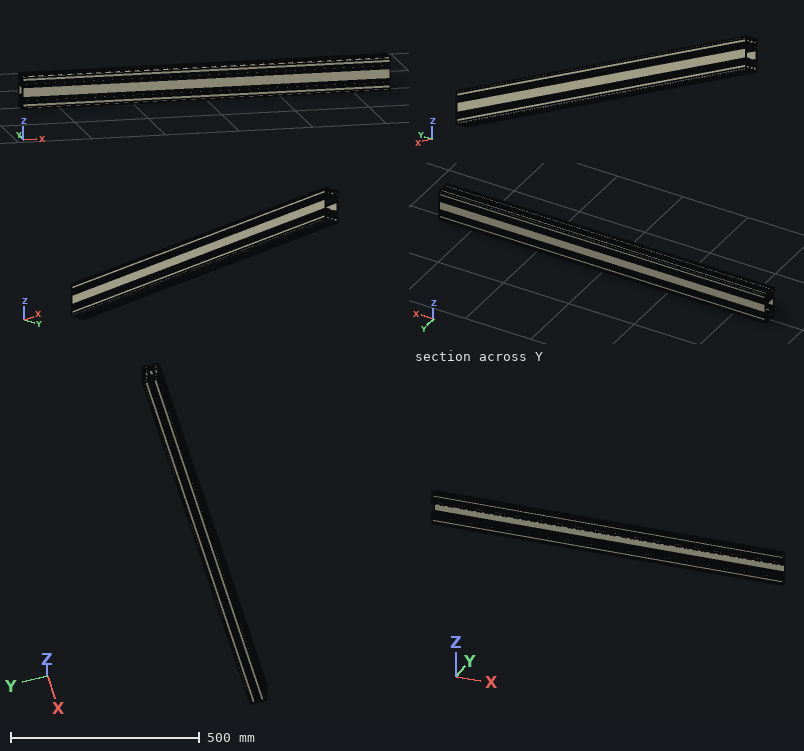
import cadquery as cq

LENGTH = 1000.0
WIDTH = 45.0
HEIGHT = 2 * WIDTH
CORNER_RADIUS = 2.5

MODULE_OFFSET = WIDTH / 2
HALF_MODULE = WIDTH / 2
CORE_HOLE_DIAMETER = 6.8

SLOT_HALF_OPENING = 4.2
SLOT_HALF_WIDTH = 7.0
SLOT_HALF_FLOOR = 5.5
FLOOR_DISTANCE = 6.5
LIP_THICKNESS = 4.4
LIP_SLOPE = 0.5
LIP_ROUND = 0.3
LIP_CHAMFER = 1.2
GROOVE_HALF_WIDTH = 1.1
GROOVE_DEPTH = 0.6

SLOT_WALL = 1.4
OUTER_WALL = 2.0
CORNER_CHAMBER_CHAMFER = 3.6
CORNER_CHAMBER_TAPER = 1.0
CENTRE_CHAMBER_SLOPE_WIDTH = 3.5

X_AXIS = ((0, 0, 0), (1, 0, 0))


def extrude_along_x(points):
    """Extrude a closed YZ outline over the whole length."""
    return cq.Workplane("YZ").polyline(points).close().extrude(LENGTH)


def mirrored_across_z(points):
    """Return the YZ points mirrored to the other side of the Z axis, in reverse order."""
    return [(-y, z) for y, z in reversed(points)]


def turned(shape, angle):
    """Turn a shape about the X axis."""
    return shape.rotate(*X_AXIS, angle)


def make_slot():
    """T-slot open towards +Z, with a shallow V-groove along the middle of its floor."""
    floor_corner_rise = SLOT_HALF_WIDTH - SLOT_HALF_FLOOR
    lip_bottom = HALF_MODULE - LIP_THICKNESS
    right_side = [
        (GROOVE_HALF_WIDTH, FLOOR_DISTANCE),
        (SLOT_HALF_FLOOR, FLOOR_DISTANCE),
        (SLOT_HALF_WIDTH, FLOOR_DISTANCE + floor_corner_rise),
        (SLOT_HALF_WIDTH, lip_bottom - LIP_SLOPE),
        (SLOT_HALF_OPENING, lip_bottom),
        (SLOT_HALF_OPENING, HALF_MODULE - LIP_CHAMFER),
        (SLOT_HALF_OPENING + LIP_CHAMFER, HALF_MODULE),
    ]
    groove_bottom = (0, FLOOR_DISTANCE - GROOVE_DEPTH)
    slot = extrude_along_x([groove_bottom] + right_side + mirrored_across_z(right_side))
    lip_edges = cq.selectors.BoxSelector(
        (0, -SLOT_HALF_OPENING - LIP_ROUND, lip_bottom - LIP_ROUND),
        (LENGTH, SLOT_HALF_OPENING + LIP_ROUND, lip_bottom + LIP_ROUND),
    )
    return slot.edges("|X").edges(lip_edges).fillet(LIP_ROUND)


def make_corner_chamber():
    """Closed chamber in the +Y +Z corner of a module, widening towards both outer walls."""
    inner = SLOT_HALF_WIDTH + SLOT_WALL
    widened = inner - CORNER_CHAMBER_TAPER
    outer = HALF_MODULE - OUTER_WALL
    return extrude_along_x([
        (inner, inner),
        (outer, widened),
        (outer, outer - CORNER_CHAMBER_CHAMFER),
        (outer - CORNER_CHAMBER_CHAMFER, outer),
        (widened, outer),
    ])


def make_module_cut():
    """Everything removed around one module centre, for the upper module."""
    cut = cq.Workplane("YZ").circle(CORE_HOLE_DIAMETER / 2).extrude(LENGTH)
    slot = make_slot()
    for angle in (0, 90, -90):
        cut = cut.union(turned(slot, angle))
    chamber = make_corner_chamber()
    for angle in (0, 90):
        cut = cut.union(turned(chamber, angle))
    return cut.translate((0, 0, MODULE_OFFSET))


def make_centre_chamber():
    """Large chamber between the two modules, raised in the middle up to each core."""
    side = HALF_MODULE - OUTER_WALL
    shoulder = MODULE_OFFSET - SLOT_HALF_WIDTH - SLOT_WALL
    ceiling = MODULE_OFFSET - FLOOR_DISTANCE
    right_side = [
        (side, shoulder),
        (SLOT_HALF_FLOOR + CENTRE_CHAMBER_SLOPE_WIDTH, shoulder),
        (SLOT_HALF_FLOOR, ceiling),
    ]
    upper_half = right_side + mirrored_across_z(right_side)
    lower_half = [(-y, -z) for y, z in upper_half]
    return extrude_along_x(upper_half + lower_half)


bar = cq.Workplane("XY").box(LENGTH, WIDTH, HEIGHT, centered=(False, True, True))
bar = bar.edges("|X").fillet(CORNER_RADIUS)

upper_cut = make_module_cut()
lower_cut = upper_cut.mirror("XY")
result = bar.cut(upper_cut).cut(lower_cut).cut(make_centre_chamber())